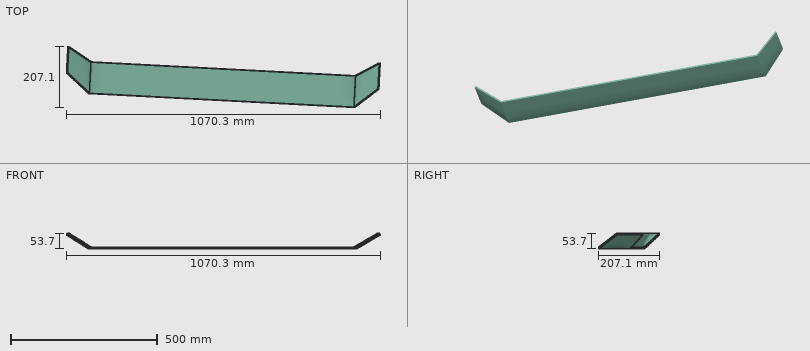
import cadquery as cq

thickness = 6.35
panel_length = 907.56
panel_width = 108.0
wing_length = 93.25
wing_angle = 31.15
wing_rear_shift = 47.61
wing_front_shift = 67.0
yaw = -3.0

half_length = panel_length / 2
half_width = panel_width / 2


def make_panel():
    """Flat rectangular centre panel with its underside at Z = 0."""
    return cq.Workplane("XY").box(panel_length, panel_width, thickness, centered=(True, True, False))


def make_right_wing():
    """Swept, tapered plate folded up about the underside edge at the +X end of the panel."""
    outline = [
        (0, -half_width),
        (wing_length, -half_width + wing_front_shift),
        (wing_length, half_width + wing_rear_shift),
        (0, half_width),
    ]
    flat_wing = cq.Workplane("XY").polyline(outline).close().extrude(thickness)
    folded_wing = flat_wing.rotate((0, 0, 0), (0, 1, 0), -wing_angle)
    return folded_wing.translate((half_length, 0, 0))


right_wing = make_right_wing()
left_wing = right_wing.mirror("YZ")
blade = make_panel().union(right_wing).union(left_wing)

result = blade.rotate((0, 0, 0), (0, 0, 1), yaw)